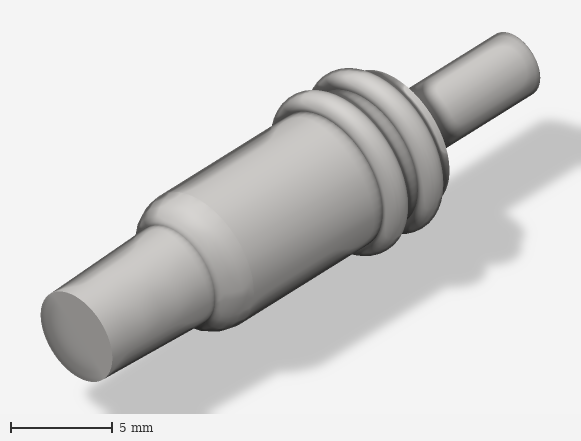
import cadquery as cq
import math

total_length = 31.0

pin_diameter = 3.5
pin_length = 8.52
pin_round = 0.2

body_diameter = 7.5
shoulder_radius = 1.98

nose_length = 6.98
nose_tip_diameter = 5.0
nose_root_diameter = 5.52

ring_thickness = 1.5
ring_end_offset = 1.5
ring_spacing = 2.48
ring_count = 2

pin_radius = pin_diameter / 2
body_radius = body_diameter / 2
nose_tip_radius = nose_tip_diameter / 2
nose_root_radius = nose_root_diameter / 2
ring_section_radius = ring_thickness / 2

nose_tip_y = -total_length / 2
nose_root_y = nose_tip_y + nose_length
pin_tip_y = total_length / 2
body_rear_y = pin_tip_y - pin_length

shoulder_centre_radius = body_radius - shoulder_radius
shoulder_end_angle = math.acos((nose_root_radius - shoulder_centre_radius) / shoulder_radius)
shoulder_start_y = nose_root_y + shoulder_radius * math.sin(shoulder_end_angle)
shoulder_middle = (
    shoulder_centre_radius + shoulder_radius * math.cos(shoulder_end_angle / 2),
    shoulder_start_y - shoulder_radius * math.sin(shoulder_end_angle / 2),
)

profile = (
    cq.Workplane("XY")
    .moveTo(0, nose_tip_y)
    .lineTo(nose_tip_radius, nose_tip_y)
    .lineTo(nose_root_radius, nose_root_y)
    .threePointArc(shoulder_middle, (body_radius, shoulder_start_y))
)

for ring_index in reversed(range(ring_count)):
    ring_y = body_rear_y - ring_end_offset - ring_index * ring_spacing
    profile = profile.lineTo(body_radius, ring_y - ring_section_radius).threePointArc(
        (body_radius + ring_section_radius, ring_y),
        (body_radius, ring_y + ring_section_radius),
    )

profile = (
    profile
    .lineTo(body_radius, body_rear_y)
    .lineTo(pin_radius, body_rear_y)
    .lineTo(pin_radius, pin_tip_y - pin_round)
    .tangentArcPoint((pin_radius - pin_round, pin_tip_y), relative=False)
    .lineTo(0, pin_tip_y)
    .close()
)

result = profile.revolve(360, (0, 0), (0, 1))